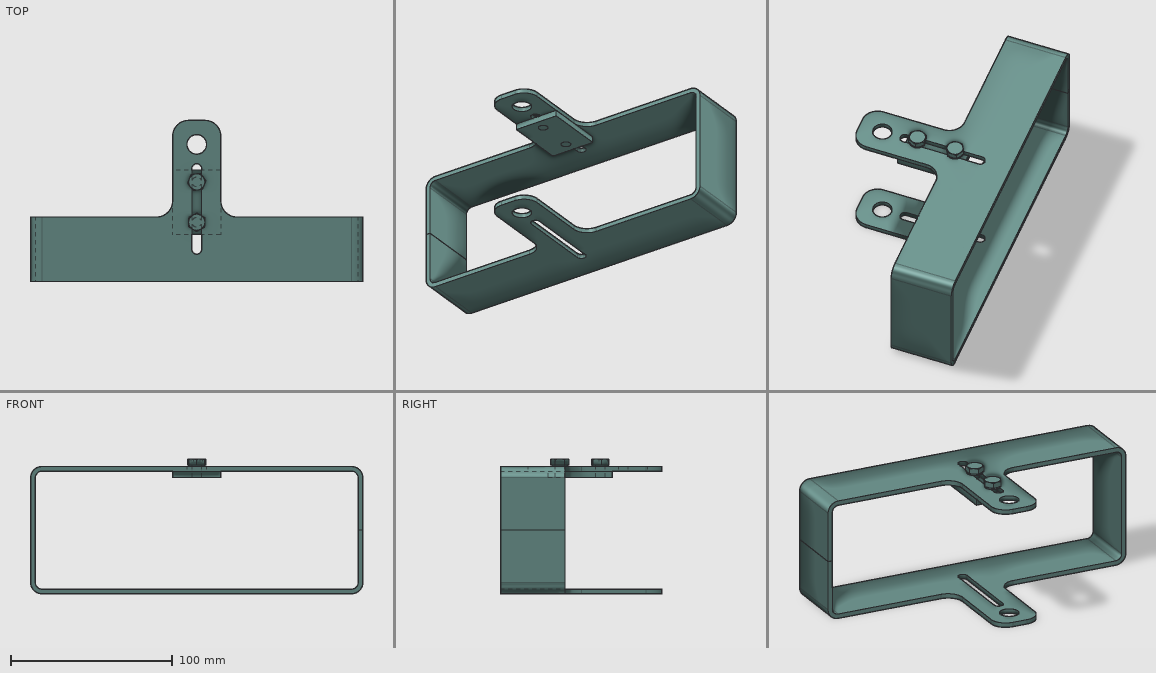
import cadquery as cq
import math

frame_width = 206.0
frame_height = 79.0
band_depth = 40.0
overall_depth = 100.0
wall = 3.0
inner_bend_radius = 4.0
seam_gap = 0.1

tongue_width = 30.0
tongue_tip_radius = 10.0
tongue_root_radius = 10.0
tongue_hole_diameter = 12.0
tongue_hole_to_tip = 15.0
slot_width = 6.0
slot_length = 56.0
slot_start = 17.0

plate_width = 30.0
plate_length = 40.0
plate_thickness = 4.0
plate_front = 29.25

bolt_spacing = 25.0
shank_diameter = 6.0
head_sides = 6
head_across_flats = 10.0
head_height = 3.7
head_chamfer_angle = 30.0
head_turns = (8.0, 29.0)
washer_diameter = 10.0
washer_thickness = 1.0

bend_radius = inner_bend_radius + wall
frame_top = frame_height / 2
plate_top = frame_top - wall
plate_bottom = plate_top - plate_thickness
plate_center = plate_front + plate_length / 2
bolt_places = (plate_center + bolt_spacing / 2, plate_center - bolt_spacing / 2)


def rounded_block(width, height, depth, radius):
    """Block running along Y from the front face, with its four long edges rounded."""
    block = cq.Workplane("XY").box(width, depth, height, centered=(True, False, True))
    return block.edges("|Y").fillet(radius)


def make_plan_block():
    """Full-height block with the plan shape of the band, tongue, hole and slot."""
    band = cq.Workplane("XY").box(frame_width, band_depth, frame_height, centered=(True, False, True))
    tongue = cq.Workplane("XY").box(tongue_width, overall_depth, frame_height, centered=(True, False, True))
    tongue = tongue.edges("|Z and >Y").fillet(tongue_tip_radius)
    root_corners = cq.selectors.BoxSelector(
        (-tongue_width, band_depth - tongue_root_radius, -frame_height),
        (tongue_width, band_depth + tongue_root_radius, frame_height),
    )
    block = band.union(tongue).edges("|Z").edges(root_corners).fillet(tongue_root_radius)

    hole = (
        cq.Workplane("XY")
        .center(0, overall_depth - tongue_hole_to_tip)
        .circle(tongue_hole_diameter / 2)
        .extrude(frame_height / 2, both=True)
    )
    slot = (
        cq.Workplane("XY")
        .center(0, slot_start + slot_length / 2)
        .slot2D(slot_length, slot_width, 90)
        .extrude(frame_height / 2, both=True)
    )
    return block.cut(hole).cut(slot)


def make_frame():
    """Bent loop trimmed to the plan shape, with a narrow butt seam in the +X wall."""
    loop = rounded_block(frame_width, frame_height, overall_depth, bend_radius)
    opening = rounded_block(
        frame_width - 2 * wall, frame_height - 2 * wall, overall_depth, inner_bend_radius
    )
    seam = cq.Workplane("XY").box(2 * wall, band_depth, seam_gap, centered=(True, False, True))
    seam = seam.translate((frame_width / 2, 0, 0))
    return loop.cut(opening).intersect(make_plan_block()).cut(seam)


def make_plate():
    """Clamping plate with one hole for each bolt."""
    return (
        cq.Workplane("XY", origin=(0, plate_center, plate_bottom))
        .rect(plate_width, plate_length)
        .extrude(plate_thickness)
        .faces(">Z")
        .workplane(origin=(0, 0, plate_top))
        .pushPoints([(0, y) for y in bolt_places])
        .hole(shank_diameter)
    )


def make_washer(y):
    """Flat ring seated on the top wall."""
    return (
        cq.Workplane("XY", origin=(0, y, frame_top))
        .circle(washer_diameter / 2)
        .circle(shank_diameter / 2)
        .extrude(washer_thickness)
    )


def make_bolt(y, head_turn):
    """Hexagon bolt whose shank ends flush with the underside of the plate."""
    head_base = frame_top + washer_thickness
    face_radius = head_across_flats / 2
    corner_radius = face_radius / math.cos(math.pi / head_sides)
    chamfer_drop = (corner_radius - face_radius) * math.tan(math.radians(head_chamfer_angle))
    head = cq.Workplane("XY").polygon(head_sides, 2 * corner_radius).extrude(head_height)
    turned_blank = (
        cq.Workplane("XZ")
        .polyline(
            [
                (0, 0),
                (corner_radius, 0),
                (corner_radius, head_height - chamfer_drop),
                (face_radius, head_height),
                (0, head_height),
            ]
        )
        .close()
        .revolve(360, (0, 0, 0), (0, 1, 0))
    )
    head = head.intersect(turned_blank).rotate((0, 0, 0), (0, 0, 1), head_turn)
    shank = (
        cq.Workplane("XY")
        .circle(shank_diameter / 2)
        .extrude(plate_bottom - head_base)
    )
    return head.union(shank).translate((0, y, head_base))


frame = make_frame()
plate = make_plate()
washers = [make_washer(y) for y in bolt_places]
bolts = [make_bolt(y, turn) for y, turn in zip(bolt_places, head_turns)]

result = cq.Compound.makeCompound(
    [
        frame.val(),
        plate.val(),
        *[washer.val() for washer in washers],
        *[bolt.val() for bolt in bolts],
    ]
)